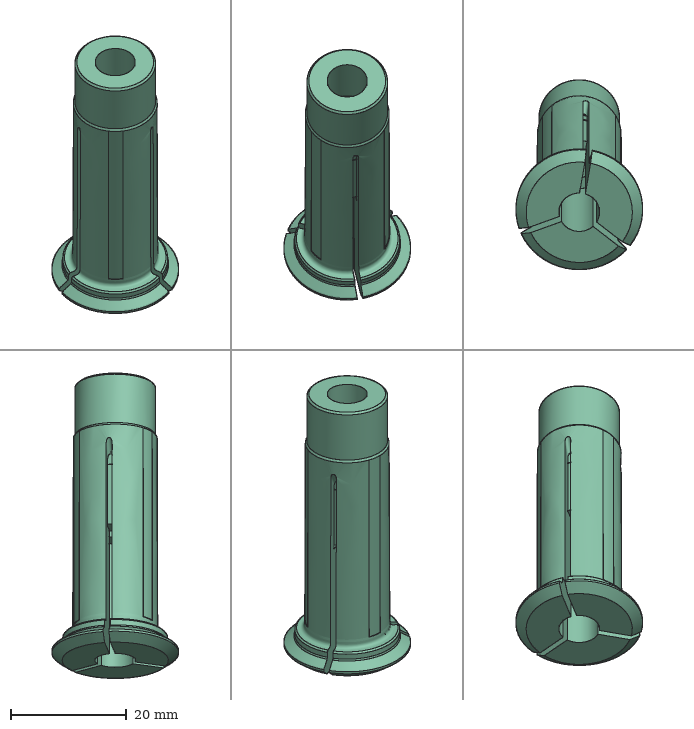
import cadquery as cq
import math

height = 50.5
jaw_count = 3

bottom_radius = 9.2
rim_radius = 10.985
rim_low_z = 1.2
rim_high_z = 1.9
rim_edge = 0.15
flange_radius = 9.1
flange_root_radius = 9.25
flange_root_z = 2.95
flange_root_height = 0.3
flange_top_z = 4.5
flange_edge = 0.3
neck_radius = 7.4
neck_fillet = 0.7
neck_top_z = 5.6
neck_cone_height = 0.45
body_radius = 7.35
collar_radius = 7.25
collar_z = 40.85
collar_edge = 0.4
head_radius = 14.0 / 2
head_edge = 0.35

head_bore_radius = 6.9 / 2
head_bore_depth = 9.1
drill_half_angle = math.radians(59)
stem_hole_radius = 1.75
jaw_bore_radius = 7.0 / 2
jaw_bore_top_z = 22.7
cavity_radius = 11.0 / 2
cavity_top_z = 36.35
stem_radius = 10.2 / 2
stem_bottom_z = 23.3
stem_root_radius = 10.5 / 2
stem_root_z = 34.25

slot_width = 1.0
slot_top_z = 38.55
slot_end_tilt = math.radians(53)
clearance = 0.5
strip_width = 2.5
strip_radius = collar_radius
strip_bottom_z = neck_top_z + neck_cone_height


def turned_outside():
    """Solid of revolution: rim, flange, neck, body and head."""
    arc_offset = neck_fillet * (1 - math.sqrt(0.5))
    profile = (
        cq.Workplane("XZ")
        .lineTo(bottom_radius, 0)
        .lineTo(rim_radius - rim_edge, rim_low_z)
        .lineTo(rim_radius, rim_low_z + rim_edge)
        .lineTo(rim_radius, rim_high_z - rim_edge)
        .lineTo(rim_radius - rim_edge, rim_high_z)
        .lineTo(flange_root_radius, flange_root_z)
        .lineTo(flange_radius, flange_root_z + flange_root_height)
        .lineTo(flange_radius, flange_top_z - flange_edge)
        .lineTo(flange_radius - flange_edge, flange_top_z)
        .lineTo(neck_radius + neck_fillet, flange_top_z)
        .threePointArc(
            (neck_radius + arc_offset, flange_top_z + arc_offset),
            (neck_radius, flange_top_z + neck_fillet),
        )
        .lineTo(neck_radius, neck_top_z)
        .lineTo(body_radius, neck_top_z + neck_cone_height)
        .lineTo(collar_radius, collar_z)
        .lineTo(head_radius, collar_z + collar_edge)
        .lineTo(head_radius, height - head_edge)
        .lineTo(head_radius - head_edge, height)
        .lineTo(0, height)
        .close()
    )
    return profile.revolve(360, (0, 0, 0), (0, 1, 0))


def head_bore():
    """Bore from the top with a drilled cone, and the small hole that runs on through the stem."""
    bore_bottom_z = height - head_bore_depth
    cone_height = (head_bore_radius - stem_hole_radius) / math.tan(drill_half_angle)
    profile = (
        cq.Workplane("XZ")
        .lineTo(stem_hole_radius, 0)
        .lineTo(stem_hole_radius, bore_bottom_z - cone_height)
        .lineTo(head_bore_radius, bore_bottom_z)
        .lineTo(head_bore_radius, height)
        .lineTo(0, height)
        .close()
    )
    return profile.revolve(360, (0, 0, 0), (0, 1, 0))


def jaw_cavity():
    """Space inside the jaws: a bore at the bottom and a narrow ring-shaped gap around the stem."""
    profile = (
        cq.Workplane("XZ")
        .lineTo(jaw_bore_radius, 0)
        .lineTo(jaw_bore_radius, jaw_bore_top_z)
        .lineTo(cavity_radius, jaw_bore_top_z)
        .lineTo(cavity_radius, cavity_top_z)
        .lineTo(stem_root_radius, cavity_top_z)
        .lineTo(stem_root_radius, stem_root_z)
        .lineTo(stem_radius, stem_root_z)
        .lineTo(stem_radius, stem_bottom_z)
        .lineTo(0, stem_bottom_z)
        .close()
    )
    return profile.revolve(360, (0, 0, 0), (0, 1, 0))


def stem():
    """Cylinder in which the slots stop."""
    length = cavity_top_z - stem_bottom_z
    root_length = cavity_top_z - stem_root_z
    shaft = cq.Workplane("XY", origin=(0, 0, stem_bottom_z)).circle(stem_radius).extrude(length)
    root = cq.Workplane("XY", origin=(0, 0, stem_root_z)).circle(stem_root_radius).extrude(root_length)
    return shaft.union(root)


def slot():
    """Radial slot toward +X, open at the bottom, with a round end that slopes down toward the axis."""
    half_width = slot_width / 2
    slope = math.tan(slot_end_tilt)
    axis_drop = half_width / math.cos(slot_end_tilt)
    outer_x = rim_radius + clearance
    outer_z = slot_top_z - axis_drop + (outer_x - body_radius) * slope
    inner_z = outer_z - outer_x * slope
    walls = (
        cq.Workplane("XZ")
        .polyline([(0, 0), (outer_x, 0), (outer_x, outer_z), (0, inner_z)])
        .close()
        .extrude(half_width, both=True)
    )
    end_axis = cq.Vector(outer_x, 0, outer_z - inner_z)
    round_end = cq.Solid.makeCylinder(half_width, end_axis.Length, cq.Vector(0, 0, inner_z), end_axis)
    return walls.union(cq.Workplane(round_end))


def strip():
    """Recess of constant radius along the middle of the jaw facing -X."""
    ring = (
        cq.Workplane("XY", origin=(0, 0, strip_bottom_z))
        .circle(rim_radius)
        .circle(strip_radius)
        .extrude(collar_z - strip_bottom_z)
    )
    band = cq.Workplane("XY").box(rim_radius, strip_width, height, centered=(False, True, False))
    return ring.intersect(band.translate((-rim_radius, 0, 0)))


stem_body = stem()
slot_body = slot().cut(stem_body)
strip_body = strip()

result = turned_outside().cut(jaw_cavity())
for jaw in range(jaw_count):
    angle = jaw * 360 / jaw_count
    result = result.cut(slot_body.rotate((0, 0, 0), (0, 0, 1), angle))
    result = result.cut(strip_body.rotate((0, 0, 0), (0, 0, 1), angle))
result = result.cut(head_bore())